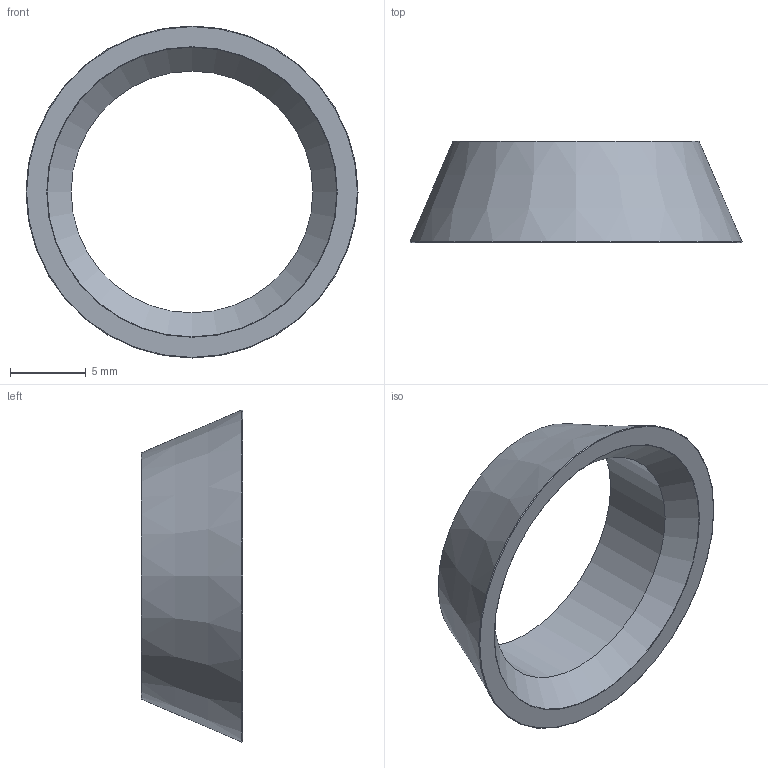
import cadquery as cq

length = 6.7
wide_radius = 11.01
narrow_radius = 8.15
bore_radius = 8.0
mouth_depth = 1.6
edge_rounding = 0.04

mouth_radius = bore_radius + mouth_depth
front_y = 0.0
back_y = front_y + length


def ring_blank():
    """Sharp-edged ring; in the half section X is the radius and Y the axis."""
    half_section = (
        cq.Workplane("XY")
        .moveTo(mouth_radius, front_y)
        .lineTo(wide_radius, front_y)
        .lineTo(narrow_radius, back_y)
        .lineTo(bore_radius, back_y)
        .lineTo(bore_radius, front_y + mouth_depth)
        .close()
    )
    return half_section.revolve(360, (0, 0, 0), (0, 1, 0))


def round_wide_face(ring):
    """Break the inner and outer edges of the wide face."""
    return ring.faces("<Y").edges().fillet(edge_rounding)


result = round_wide_face(ring_blank())